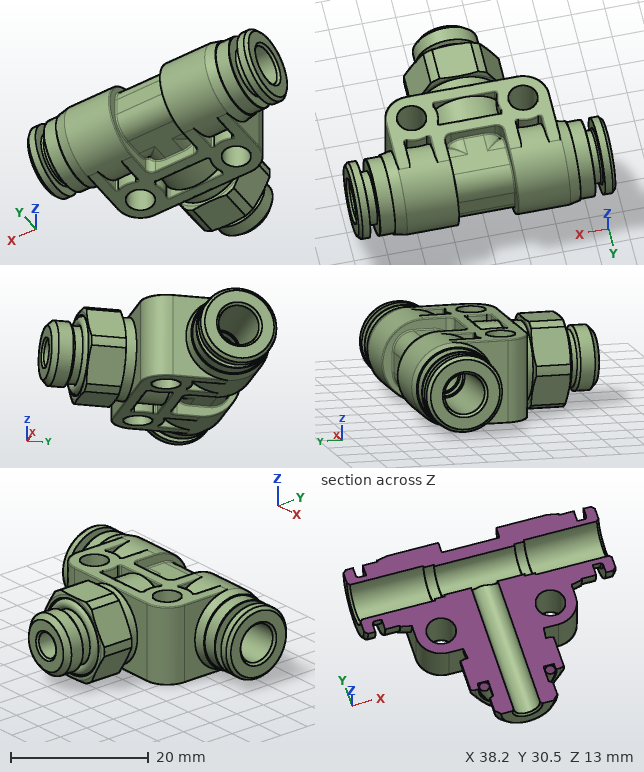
import cadquery as cq


overall_length = 38.2
half_length = overall_length / 2
sleeve_radius = 6.23
shoulder_end = 13.8
shoulder_radius = 5.9
collar_radius = 5.7
collar_seat_end = 16.05
collar_seat_chamfer = 0.08
groove_radius = 3.95
groove_end = 17.45
groove_chamfer = 0.25
collar_chamfer = 0.5

tube_bore_radius = 3.0
tube_entry_chamfer = 0.4
tube_stop = 7.65
step_bore_radius = 2.75
step_bore_end = 6.1
flow_bore_radius = 2.5

plate_half_width = 12.15
hole_x = 8.3
hole_y = -8.25
hole_radius = 2.15
boss_radius = plate_half_width - hole_x
plate_bottom = hole_y - boss_radius
edge_fillet = 0.15

pocket_corner_radius = 0.23
sleeve_pocket_half_width = 1.9
sleeve_pocket_top = 0.75
sleeve_pocket_bottom = -4.7
window_half_width = 4.7
window_top = -6.35
window_bottom = -10.2

notch_half_width = 4.35
notch_bottom = -4.47
notch_corner_radius = 1.07
core_half_width = 4.5
core_corner_radius = 3.0
core_fillet = 0.2
core_margin = 0.05

neck_top_radius = 6.15
neck_bottom_radius = 5.95
neck_inner_end = -5.35
hex_back = -13.75
hex_front = -19.3
hex_across_flats = 13.0
hex_turn = 30.0
hex_corner_radius = 7.1
hex_face_radius = 6.45
hex_chamfer_height = 0.2
relief_radius = 4.25
relief_end = -20.85
thread_radius = 4.8
thread_start = -21.25
overall_depth = 30.5
thread_end = sleeve_radius - overall_depth
thread_chamfer = 0.85
stud_bore_radius = 2.0
stud_bore_chamfer = 0.3

ring_section_radius = 0.75
ring_center_radius = relief_radius + ring_section_radius
ring_y = -19.1
seat_radius = ring_center_radius + ring_section_radius
seat_bottom = ring_y + ring_section_radius
seat_chamfer = 0.2


def revolve_about_x(points):
    """Solid of revolution about X from (x, radius) points."""
    return cq.Workplane("XY").polyline(points).close().revolve(360, (0, 0, 0), (1, 0, 0))


def revolve_about_y(points):
    """Solid of revolution about Y from (radius, y) points."""
    return cq.Workplane("XY").polyline(points).close().revolve(360, (0, 0, 0), (0, 1, 0))


def both_x_sides(body):
    return body.union(body.mirror("YZ"))


def make_sleeve():
    """Sleeve with its tapered shoulder and the release collar at its end."""
    sleeve = revolve_about_x([
        (notch_half_width, 0),
        (notch_half_width, sleeve_radius),
        (plate_half_width, sleeve_radius),
        (shoulder_end, shoulder_radius),
        (shoulder_end, collar_radius),
        (collar_seat_end - collar_seat_chamfer, collar_radius),
        (collar_seat_end, collar_radius - collar_seat_chamfer),
        (collar_seat_end, groove_radius),
        (groove_end - groove_chamfer, groove_radius),
        (groove_end, groove_radius + groove_chamfer),
        (groove_end, collar_radius),
        (half_length - collar_chamfer, collar_radius),
        (half_length, collar_radius - collar_chamfer),
        (half_length, 0),
    ])
    return sleeve.faces("<X").edges().fillet(edge_fillet)


def make_tube_passage():
    """Stepped bore from the collar face to the middle of the fitting."""
    return revolve_about_x([
        (0, 0),
        (0, flow_bore_radius),
        (step_bore_end, flow_bore_radius),
        (step_bore_end, step_bore_radius),
        (tube_stop, step_bore_radius),
        (tube_stop, tube_bore_radius),
        (half_length - tube_entry_chamfer, tube_bore_radius),
        (half_length, tube_bore_radius + tube_entry_chamfer),
        (half_length, 0),
    ])


def make_pocket(center_x, width, top, bottom):
    """Rectangular pocket through both plate faces."""
    return (
        cq.Workplane("XY", origin=(center_x, (top + bottom) / 2, sleeve_radius))
        .sketch()
        .rect(width, top - bottom)
        .vertices()
        .fillet(pocket_corner_radius)
        .finalize()
        .extrude(-2 * sleeve_radius)
    )


def make_pockets():
    """Two sleeve pockets and the middle window, all kept clear of the hole bosses."""
    pockets = make_pocket(0, 2 * window_half_width, window_top, window_bottom)
    for side in (-1, 1):
        pockets = pockets.union(
            make_pocket(side * hole_x, 2 * sleeve_pocket_half_width, sleeve_pocket_top, sleeve_pocket_bottom)
        )
    bosses = (
        cq.Workplane("XY", origin=(0, 0, sleeve_radius))
        .pushPoints([(-hole_x, hole_y), (hole_x, hole_y)])
        .circle(boss_radius)
        .extrude(-2 * sleeve_radius)
    )
    return pockets.cut(bosses)


def make_plate():
    """Plate below the sleeve axis with pockets, notch and rounded edges on both faces."""
    outline = (
        cq.Workplane("XY", origin=(0, plate_bottom / 2, 0))
        .box(2 * plate_half_width, -plate_bottom, 2 * sleeve_radius)
        .edges("|Z and <Y")
        .fillet(boss_radius)
    )
    plate = outline.cut(make_pockets()).cut(make_notch())
    return plate.faces("<Z or >Z").edges("not >Y").fillet(edge_fillet)


def make_notch():
    """Opening between the two sleeves, with rounded lower corners."""
    height = sleeve_radius - notch_bottom
    return (
        cq.Workplane("XY", origin=(0, notch_bottom + height / 2, 0))
        .box(2 * notch_half_width, height, 2 * sleeve_radius)
        .edges("|Z and <Y")
        .fillet(notch_corner_radius)
    )


def make_core_bar(plane, start, length):
    """Square bar of the core section with rounded edges, from start along the plane normal."""
    width = 2 * core_half_width
    return (
        cq.Workplane(plane)
        .workplane(offset=start)
        .sketch()
        .rect(width, width)
        .vertices()
        .fillet(core_corner_radius)
        .finalize()
        .extrude(length)
    )


def make_core():
    """Two square bars of one section that meet in a T inside the notch."""
    crossbar = make_core_bar("YZ", -notch_half_width, 2 * notch_half_width)
    stem = make_core_bar("XZ", 0, -notch_bottom)
    return crossbar.union(stem)


def make_neck():
    """Round neck inside the plate that tapers from the plate to the hexagon."""
    return revolve_about_y([
        (0, neck_inner_end),
        (neck_top_radius, neck_inner_end),
        (neck_top_radius, plate_bottom),
        (neck_bottom_radius, hex_back),
        (0, hex_back),
    ])


def make_hexagon():
    """Hexagon with turned corners and chamfered faces."""
    hexagon = (
        cq.Workplane("XZ", origin=(0, hex_back, 0))
        .polygon(6, hex_across_flats, circumscribed=True)
        .extrude(hex_back - hex_front)
        .rotate((0, 0, 0), (0, 1, 0), hex_turn)
    )
    turned_envelope = revolve_about_y([
        (0, hex_back),
        (hex_face_radius, hex_back),
        (hex_corner_radius, hex_back - hex_chamfer_height),
        (hex_corner_radius, hex_front + hex_chamfer_height),
        (hex_face_radius, hex_front),
        (0, hex_front),
    ])
    seat = revolve_about_y([
        (0, seat_bottom),
        (seat_radius, seat_bottom),
        (seat_radius, hex_front + seat_chamfer),
        (seat_radius + seat_chamfer, hex_front),
        (0, hex_front),
    ])
    return hexagon.intersect(turned_envelope).cut(seat)


def make_thread():
    """Threaded end as a plain cylinder of the outer diameter, with the relief behind it."""
    return revolve_about_y([
        (0, seat_bottom),
        (relief_radius, seat_bottom),
        (relief_radius, relief_end),
        (thread_radius, thread_start),
        (thread_radius, thread_end + thread_chamfer),
        (thread_radius - thread_chamfer, thread_end),
        (0, thread_end),
    ])


def make_stud_bore():
    """Bore from the thread face to the tube passage."""
    return revolve_about_y([
        (0, 0),
        (stud_bore_radius, 0),
        (stud_bore_radius, thread_end + stud_bore_chamfer),
        (stud_bore_radius + stud_bore_chamfer, thread_end),
        (0, thread_end),
    ])


def make_frame():
    """Plate, sleeves and core, with fillets where the core meets the notch walls and at its miters."""
    reach = core_half_width + core_margin
    core_region = cq.selectors.BoxSelector((-reach, -reach, -reach), (reach, reach, reach), boundingbox=True)
    return (
        make_plate()
        .union(both_x_sides(make_sleeve()))
        .union(make_core())
        .edges(core_region)
        .edges("%CIRCLE or %ELLIPSE")
        .fillet(core_fillet)
    )


def make_fitting():
    mounting_holes = (
        cq.Workplane("XY", origin=(0, 0, -sleeve_radius))
        .pushPoints([(-hole_x, hole_y), (hole_x, hole_y)])
        .circle(hole_radius)
        .extrude(2 * sleeve_radius)
    )
    return (
        make_frame()
        .union(make_neck())
        .union(make_hexagon())
        .union(make_thread())
        .cut(mounting_holes)
        .cut(both_x_sides(make_tube_passage()))
        .cut(make_stud_bore())
    )


def make_sealing_ring():
    """O-ring around the thread relief, seated in the hexagon face."""
    return (
        cq.Workplane("XY")
        .center(ring_center_radius, ring_y)
        .circle(ring_section_radius)
        .revolve(360, (-ring_center_radius, 0, 0), (-ring_center_radius, 1, 0))
    )


fitting = make_fitting()
sealing_ring = make_sealing_ring()

result = cq.Compound.makeCompound([fitting.val(), sealing_ring.val()])